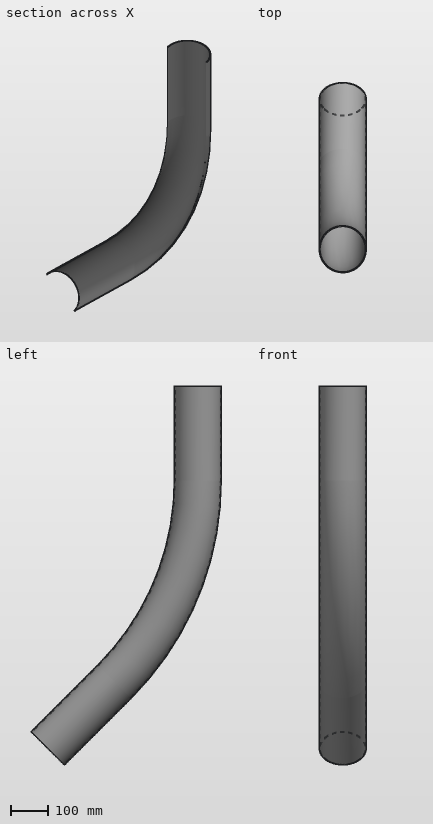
import cadquery as cq
import math

total_height = 1017.0
outer_diameter = 127.0
inner_diameter = 121.0
straight_length = 253.0
bend_angle = math.radians(45)

outer_radius = outer_diameter / 2
sine = math.sin(bend_angle)
cosine = math.cos(bend_angle)
bend_height = total_height - straight_length * (1 + cosine) - outer_radius * sine
bend_radius = bend_height / sine


def bend_point(angle):
    """Point (Y, Z) on the bend centreline, at an angle from its upper end."""
    y = bend_radius * (1 - math.cos(angle))
    z = -straight_length - bend_radius * math.sin(angle)
    return y, z


bend_end = bend_point(bend_angle)
lower_end = (
    bend_end[0] + straight_length * sine,
    bend_end[1] - straight_length * cosine,
)
centreline = (
    cq.Workplane("YZ")
    .moveTo(0, 0)
    .lineTo(0, -straight_length)
    .threePointArc(bend_point(bend_angle / 2), bend_end)
    .lineTo(*lower_end)
)

result = (
    cq.Workplane("XY")
    .circle(outer_radius)
    .circle(inner_diameter / 2)
    .sweep(centreline)
)